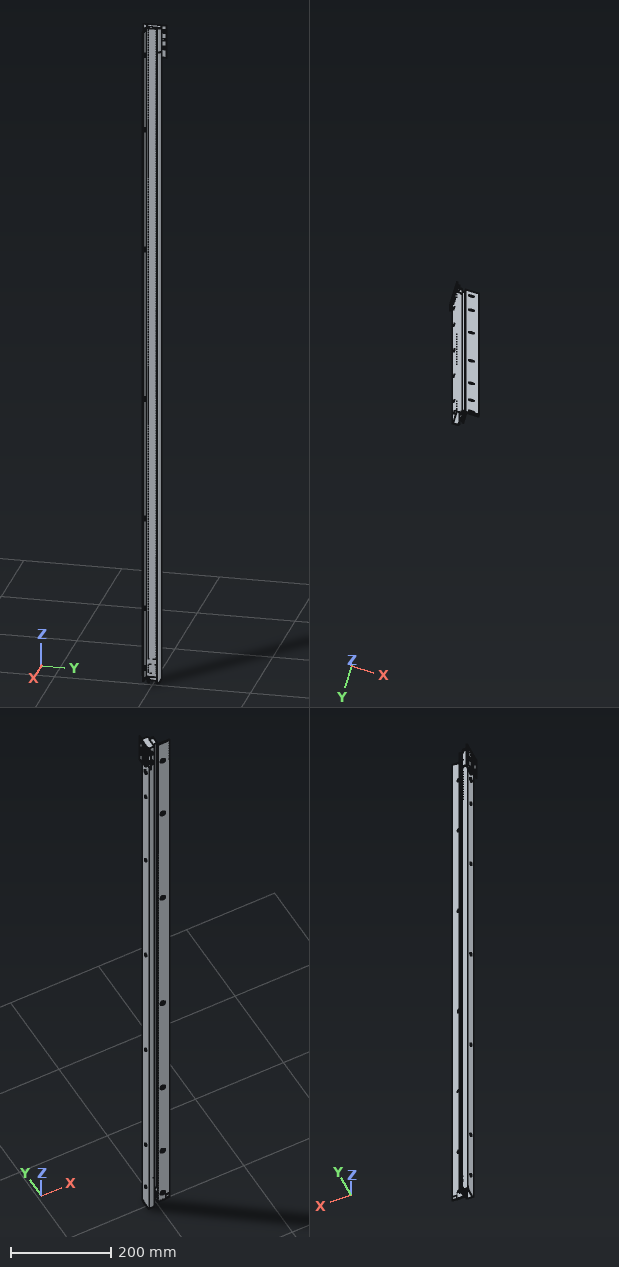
import cadquery as cq

TOTAL_WIDTH = 49.09
PLATE_WIDTH = 48.0
TOTAL_HEIGHT = 1403.75
PLATE_THICKNESS = 1.5

HOLE_PITCH = 32.0

RAIL_WIDTH = 28.8
RAIL_FACE_X = PLATE_THICKNESS
RAIL_OPEN_X = 16.0
RAIL_CENTER_Y = 0.7
RAIL_WALL = 2.0
RAIL_BACK_RADIUS = 1.8
RAIL_LIP_RADIUS = 5.0
RAIL_END_RADIUS = 8.0
RAIL_END_BEVEL_DEPTH = 1.5
RAIL_END_BEVEL_HEIGHT = 6.5
RAIL_HOLE_DIAMETER = 6.0
RAIL_HOLE_FIRST_DROP = 162.0
RAIL_HOLE_STEPS = [0, 6, 15, 24, 33, 37]
RAIL_TOP_HOLE_DIAMETER = 9.0
RAIL_TOP_HOLE_DROP = 86.0
RAIL_LOCATING_HOLE_Y = 3.5
RAIL_LOCATING_HOLE_DROP = 62.5
RAIL_LOCATING_HOLE_DIAMETER = 7.0
RAIL_LOCATING_RECESS_DIAMETER = 14.0
RAIL_LOCATING_RECESS_DEPTH = 1.0

ANGLE_WEB_X = 21.0
ANGLE_THICKNESS = 2.5
ANGLE_FRONT_Y = -14.5
ANGLE_BACK_Y = 9.0
ANGLE_LENGTH = 1388.0
GUIDE_WIDTH = 16.0
GUIDE_CENTER_Y = -0.5
GUIDE_LENGTH = 1350.0
SCREW_X = 33.0
SCREW_HOLE_DIAMETER = 6.0
SCREW_HEAD_DIAMETER = 11.0
SCREW_HEAD_ANGLE = 90.0
SCREW_FIRST_DROP = 54.0
SCREW_STEPS = [0, 5, 13, 23, 31, 37, 41]
STOP_REACH = 2.5
STOP_HEIGHT = 19.0
STOP_DROP = 1371.0
CORNER_RECESS_WIDTH = 9.5
CORNER_RECESS_HEIGHT = 12.5
CORNER_RECESS_DEPTH = 1.0

BRACKET_HEIGHT = 53.0
TONGUE_HEIGHT = 69.0
SLEEVE_CAP_THICKNESS = 3.0
TONGUE_EDGE_Y = 12.0
TONGUE_SLOPE_END_Y = 5.0
BRACKET_HOLE_DIAMETER = 4.0
BRACKET_HEAD_DIAMETER = 7.0
BRACKET_HEAD_DEPTH = 0.8
BOSS_DIAMETER = 8.0
BOSS_REACH = 7.0
FRONT_HOLE_Y = -17.0
FRONT_HOLE_DROPS = [13.0, 39.0]
BACK_HOLE_Y = 19.0
BACK_HOLE_DROPS = [13.0, 48.0]
SLOT_FRONT_Y = -8.0
SLOT_BACK_Y = 5.0
SLOT_DROPS = (4.0, 48.0)
GROOVE_BACK_Y = 20.0
GROOVE_DROPS = (29.0, 33.0)
GROOVE_DEPTH = 0.6

rail_top = TOTAL_HEIGHT - BRACKET_HEIGHT
rail_front_y = RAIL_CENTER_Y - RAIL_WIDTH / 2
rail_back_y = RAIL_CENTER_Y + RAIL_WIDTH / 2


def box(x_range, y_range, z_range):
    """Solid block between the given limits along each axis."""
    sizes = [high - low for low, high in (x_range, y_range, z_range)]
    corner = (x_range[0], y_range[0], z_range[0])
    return cq.Workplane("XY").box(*sizes, centered=False).translate(corner)


def rod_along_x(diameter, x_range, y, z):
    """Round rod running along X."""
    plane = cq.Workplane("YZ", origin=(x_range[0], y, z))
    return plane.circle(diameter / 2).extrude(x_range[1] - x_range[0])


def rail_envelope(z_range):
    """Outside of the rail section: small back corners, large lip corners."""
    block = box((RAIL_FACE_X, RAIL_OPEN_X), (rail_front_y, rail_back_y), z_range)
    block = block.edges("|Z and <X").fillet(RAIL_BACK_RADIUS)
    return block.edges("|Z and >X").fillet(RAIL_LIP_RADIUS)


guide_y = (GUIDE_CENTER_Y - GUIDE_WIDTH / 2, GUIDE_CENTER_Y + GUIDE_WIDTH / 2)
guide_x = (RAIL_OPEN_X - RAIL_WALL, ANGLE_WEB_X)
guide_bar = box(guide_x, guide_y, (TOTAL_HEIGHT - GUIDE_LENGTH, TOTAL_HEIGHT))


def lipped_channel(z_range):
    """Channel whose lips close against both sides of the guide bar."""
    cavity = box(
        (RAIL_FACE_X + RAIL_WALL, RAIL_OPEN_X - RAIL_WALL),
        (rail_front_y + RAIL_WALL, rail_back_y - RAIL_WALL),
        z_range,
    )
    cavity = cavity.edges("|Z and >X").fillet(RAIL_LIP_RADIUS - RAIL_WALL)
    opening = box((RAIL_OPEN_X - RAIL_WALL, RAIL_OPEN_X), guide_y, z_range)
    return rail_envelope(z_range).cut(cavity).cut(opening)


def make_rail():
    rail = lipped_channel((0, rail_top))
    web_x = (RAIL_FACE_X, RAIL_FACE_X + RAIL_WALL)

    end_outline = box((RAIL_FACE_X, RAIL_OPEN_X), (rail_front_y, rail_back_y), (0, rail_top))
    rail = rail.intersect(end_outline.edges("|X and <Z").fillet(RAIL_END_RADIUS))

    bevel = cq.Workplane("XZ", origin=(RAIL_FACE_X, rail_back_y, 0))
    bevel = bevel.polyline([(0, 0), (RAIL_END_BEVEL_DEPTH, 0), (0, RAIL_END_BEVEL_HEIGHT)]).close()
    rail = rail.cut(bevel.extrude(RAIL_WIDTH))

    for step in RAIL_HOLE_STEPS:
        z = TOTAL_HEIGHT - RAIL_HOLE_FIRST_DROP - step * HOLE_PITCH
        rail = rail.cut(rod_along_x(RAIL_HOLE_DIAMETER, web_x, RAIL_CENTER_Y, z))
    top_hole_z = TOTAL_HEIGHT - RAIL_TOP_HOLE_DROP
    rail = rail.cut(rod_along_x(RAIL_TOP_HOLE_DIAMETER, web_x, RAIL_CENTER_Y, top_hole_z))

    locating_z = TOTAL_HEIGHT - RAIL_LOCATING_HOLE_DROP
    recess_x = (RAIL_FACE_X, RAIL_FACE_X + RAIL_LOCATING_RECESS_DEPTH)
    rail = rail.cut(
        rod_along_x(RAIL_LOCATING_HOLE_DIAMETER, web_x, RAIL_LOCATING_HOLE_Y, locating_z)
    )
    return rail.cut(
        rod_along_x(RAIL_LOCATING_RECESS_DIAMETER, recess_x, RAIL_LOCATING_HOLE_Y, locating_z)
    )


def make_angle():
    bottom = TOTAL_HEIGHT - ANGLE_LENGTH
    z_range = (bottom, TOTAL_HEIGHT)
    flange_back_y = ANGLE_FRONT_Y + ANGLE_THICKNESS
    web = box((ANGLE_WEB_X, ANGLE_WEB_X + ANGLE_THICKNESS), (ANGLE_FRONT_Y, ANGLE_BACK_Y), z_range)
    flange = box((ANGLE_WEB_X, TOTAL_WIDTH), (ANGLE_FRONT_Y, flange_back_y), z_range)
    angle = web.union(flange).union(guide_bar)

    stop_z = TOTAL_HEIGHT - STOP_DROP
    stop = box(
        (ANGLE_WEB_X - STOP_REACH, ANGLE_WEB_X),
        guide_y,
        (stop_z - STOP_HEIGHT / 2, stop_z + STOP_HEIGHT / 2),
    )
    angle = angle.union(stop)

    angle = angle.cut(
        box(
            (TOTAL_WIDTH - CORNER_RECESS_WIDTH, TOTAL_WIDTH),
            (ANGLE_FRONT_Y, ANGLE_FRONT_Y + CORNER_RECESS_DEPTH),
            (bottom, bottom + CORNER_RECESS_HEIGHT),
        )
    )

    drops = [SCREW_FIRST_DROP + step * HOLE_PITCH for step in SCREW_STEPS]
    screws = cq.Workplane("XZ", origin=(SCREW_X, ANGLE_FRONT_Y, TOTAL_HEIGHT))
    screws = screws.newObject(angle.vals())
    screws = screws.pushPoints([(0, -drop) for drop in drops])
    return screws.cskHole(SCREW_HOLE_DIAMETER, SCREW_HEAD_DIAMETER, SCREW_HEAD_ANGLE)


def drop_range(drops):
    """Z limits of a band given by its distances below the top."""
    return (TOTAL_HEIGHT - max(drops), TOTAL_HEIGHT - min(drops))


def make_bracket():
    bottom = TOTAL_HEIGHT - BRACKET_HEIGHT
    tongue_bottom = TOTAL_HEIGHT - TONGUE_HEIGHT
    half_width = PLATE_WIDTH / 2

    outline = [
        (-half_width, TOTAL_HEIGHT),
        (-half_width, bottom),
        (TONGUE_SLOPE_END_Y, bottom),
        (TONGUE_EDGE_Y, tongue_bottom),
        (half_width, tongue_bottom),
        (half_width, TOTAL_HEIGHT),
    ]
    bracket = cq.Workplane("YZ").polyline(outline).close().extrude(PLATE_THICKNESS)

    for drop in FRONT_HOLE_DROPS:
        boss_x = (0, BOSS_REACH)
        bracket = bracket.union(rod_along_x(BOSS_DIAMETER, boss_x, FRONT_HOLE_Y, TOTAL_HEIGHT - drop))
    bracket = bracket.union(lipped_channel((bottom, TOTAL_HEIGHT)))
    cap = rail_envelope((TOTAL_HEIGHT - SLEEVE_CAP_THICKNESS, TOTAL_HEIGHT))
    bracket = bracket.union(cap.cut(guide_bar))

    slot_x = (0, RAIL_FACE_X + RAIL_WALL)
    bracket = bracket.cut(box(slot_x, (SLOT_FRONT_Y, SLOT_BACK_Y), drop_range(SLOT_DROPS)))
    groove_y = (SLOT_BACK_Y, GROOVE_BACK_Y)
    bracket = bracket.cut(box((0, GROOVE_DEPTH), groove_y, drop_range(GROOVE_DROPS)))

    hole_places = [(FRONT_HOLE_Y, drop, BOSS_REACH) for drop in FRONT_HOLE_DROPS]
    hole_places += [(BACK_HOLE_Y, drop, PLATE_THICKNESS) for drop in BACK_HOLE_DROPS]
    for y, drop, depth in hole_places:
        z = TOTAL_HEIGHT - drop
        bracket = bracket.cut(rod_along_x(BRACKET_HOLE_DIAMETER, (0, depth), y, z))
        bracket = bracket.cut(rod_along_x(BRACKET_HEAD_DIAMETER, (0, BRACKET_HEAD_DEPTH), y, z))
    return bracket


rail = make_rail()
angle = make_angle()
bracket = make_bracket()

result = cq.Compound.makeCompound([rail.val(), angle.val(), bracket.val()])